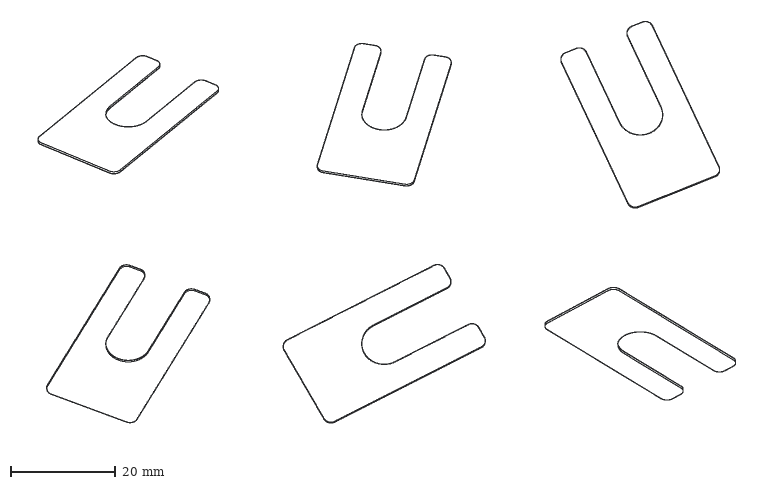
import cadquery as cq

width = 19.05
length = 35.05
thickness = 0.5
corner_radius = 1.5

slot_width = 8.6
slot_bottom_to_edge = 13.2

slot_radius = slot_width / 2
slot_center_y = -length / 2 + slot_bottom_to_edge + slot_radius
slot_straight_length = length / 2 - slot_center_y


def make_slot_cutter():
    """Straight channel to the +Y edge with a round inner end."""
    channel = (
        cq.Workplane("XY")
        .center(0, slot_center_y + slot_straight_length / 2)
        .rect(slot_width, slot_straight_length)
        .extrude(thickness)
    )
    round_end = cq.Workplane("XY").center(0, slot_center_y).circle(slot_radius).extrude(thickness)
    return channel.union(round_end)


plate = cq.Workplane("XY").rect(width, length).extrude(thickness).cut(make_slot_cutter())
outer_corners = plate.faces("<Y or >Y").edges("|Z")
result = outer_corners.fillet(corner_radius)